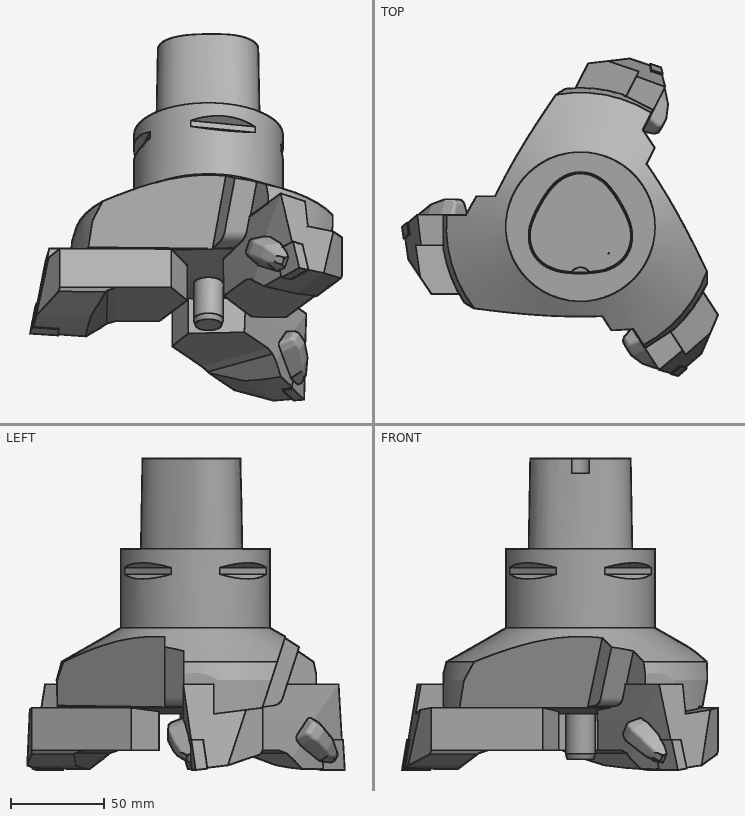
import cadquery as cq
import math


SHANK_TOP = 167.0
NECK_TOP = 118.5
NECK_BOTTOM = 76.3
CONE_BOTTOM = 58.0
RIM_HEIGHT = 48.2
HUB_BOTTOM = 30.1
PIN_BOTTOM = 5.8

NECK_RADIUS = 80.0 / 2
CONE_RADIUS = 71.9
RIM_RADIUS = 74.5
HUB_RADIUS = 74.0
PIN_RADIUS = 16.0 / 2
PIN_CHAMFER_WIDTH = 1.0
PIN_CHAMFER_HEIGHT = 3.0

SHANK_MEAN_RADIUS = 27.3
SHANK_LOBE = 2.0
SHANK_TAPER = 0.9
LOBE_TIPS = (90, 210, 330)
LOBE_HALF_ANGLE = 21
STRETCH_STEPS = 6
KEYWAY_RADIUS = 5.6
KEYWAY_OFFSET = 27.5
KEYWAY_DEPTH = 8.0

SLOT_ANGLES = (45, 135, 225, 315)
SLOT_HEIGHT = 106.8
SLOT_FLOOR_RADIUS = 36.0
SLOT_FLOOR_WIDTH = 3.4
SLOT_MOUTH_WIDTH = 8.7

ARM_ANGLES = (0, 123, 243)
FLANK_TILT = 18.0
FLANK_TOP_Y = -48.0
FLANK_TOP_Z = 70.9
STEP_OFFSET = 9.2
STEP_TOE_Z = 39.0
STEP_TOE_MID = (-45.1, 36.1)
STEP_FOOT = (-41.9, 34.5)
STEP_BASE_Z = 33.9
SHOULDER_Y = 16.4
LEAD_Y = 6.1
RELIEF_X = -73.4
RELIEF_HALF_WIDTH = 20.5

FRONT_Y = 6.5
SEAT_Y = -9.9
BACK_Y = -36.1
SEAT_Z = HUB_BOTTOM
SEAT_ANGLE = 7.2
UPRIGHT_TOP = 46.2
FRONT_INNER_X = -26.7
INNER_CORNER = (-11.5, -20.1)
BACK_INNER_X = -20.3
BACK_OUTER_X = -79.9
CORNER_CUT_ANGLE = 56.3
OUTER_X = -87.4
OUTER_LEAN = 0.18
OUTER_SWEEP = 0.12
RAKE_X = -71.4
RAKE_Z = 27.3
RADIAL_RAKE = 0.14
AXIAL_RAKE = 0.12
LOWER_RAKE = 0.032
BAR_BOTTOM = 10.5

INSERT_TIP_X = -95.7
INSERT_INNER_X = -80.5
INSERT_HEIGHT = 16.4
INSERT_THICKNESS = 6.5
INSERT_CLEARANCE = 0.12

CLAMP_X = -74.1
CLAMP_BASE_Y = 2.5
CLAMP_Z = 16.2
CLAMP_SLOPE = 37.0
CLAMP_TAPER = 24.0
CLAMP_HEIGHT = 12.8
CLAMP_ROUNDED_Y = 6.8
CLAMP_ROUNDING = 2.0

FAR = 255.5
OUTSIDE_X = -102.2
OVERCUT = 1.7


def half_space(point, normal):
    """Large block on the side of a plane that its normal points to."""
    return cq.Workplane(cq.Plane(origin=point, normal=normal)).rect(FAR, FAR).extrude(FAR)


def turned(body, angle):
    return body.rotate((0, 0, 0), (0, 0, 1), angle)


def flank_y(z):
    return FLANK_TOP_Y + (FLANK_TOP_Z - z) * math.tan(math.radians(FLANK_TILT))


def seat_z(y):
    return SEAT_Z + (SEAT_Y - y) * math.tan(math.radians(SEAT_ANGLE))



def lobe_point(mean_radius, degrees):
    """Point on the three-lobed outline; one lobe points along +Y."""
    angle = math.radians(degrees)
    radius = mean_radius + SHANK_LOBE * math.cos(3 * (angle - math.pi / 2))
    return cq.Vector(radius * math.cos(angle), radius * math.sin(angle))


def lobe_tangent(mean_radius, degrees):
    """Tangent of the three-lobed outline, the derivative of its point by angle."""
    angle = math.radians(degrees)
    radius = mean_radius + SHANK_LOBE * math.cos(3 * (angle - math.pi / 2))
    growth = -3 * SHANK_LOBE * math.sin(3 * (angle - math.pi / 2))
    return cq.Vector(
        growth * math.cos(angle) - radius * math.sin(angle),
        growth * math.sin(angle) + radius * math.cos(angle),
    )


def lobed_wire(mean_radius, height):
    """Outline of three lobe tips and three flatter flanks, tangent where they meet."""
    stretches = []
    for tip in LOBE_TIPS:
        stretches.append((tip - LOBE_HALF_ANGLE, tip + LOBE_HALF_ANGLE))
        stretches.append((tip + LOBE_HALF_ANGLE, tip + 120 - LOBE_HALF_ANGLE))
    edges = []
    for start, end in stretches:
        angles = [start + (end - start) * i / STRETCH_STEPS for i in range(STRETCH_STEPS + 1)]
        points = [lobe_point(mean_radius, angle) for angle in angles]
        tangents = [lobe_tangent(mean_radius, start), lobe_tangent(mean_radius, end)]
        edges.append(cq.Edge.makeSpline(points, tangents=tangents))
    return cq.Wire.assembleEdges(edges).translate(cq.Vector(0, 0, height))


def make_shank():
    bottom = lobed_wire(SHANK_MEAN_RADIUS, NECK_TOP)
    top = lobed_wire(SHANK_MEAN_RADIUS - SHANK_TAPER, SHANK_TOP)
    shank = cq.Workplane(cq.Solid.makeLoft([bottom, top], True))
    keyway = (
        cq.Workplane("XY", origin=(0, -KEYWAY_OFFSET, SHANK_TOP - KEYWAY_DEPTH))
        .circle(KEYWAY_RADIUS)
        .extrude(KEYWAY_DEPTH)
    )
    return shank.cut(keyway)


def make_turned_body():
    """Central pin, hub, rim, cone and neck as one turned shape."""
    profile = [
        (0, PIN_BOTTOM),
        (PIN_RADIUS - PIN_CHAMFER_WIDTH, PIN_BOTTOM),
        (PIN_RADIUS, PIN_BOTTOM + PIN_CHAMFER_HEIGHT),
        (PIN_RADIUS, HUB_BOTTOM),
        (HUB_RADIUS, HUB_BOTTOM),
        (RIM_RADIUS, RIM_HEIGHT),
        (CONE_RADIUS, CONE_BOTTOM),
        (NECK_RADIUS, NECK_BOTTOM),
        (NECK_RADIUS, NECK_TOP),
        (0, NECK_TOP),
    ]
    return cq.Workplane("XZ").polyline(profile).close().revolve(360, (0, 0, 0), (0, 1, 0))


def make_gripper_slot():
    """Straight slot with flared sides, on the +X side of the neck."""
    floor_half = SLOT_FLOOR_WIDTH / 2
    mouth_half = SLOT_MOUTH_WIDTH / 2
    profile = [
        (SLOT_FLOOR_RADIUS, -floor_half),
        (NECK_RADIUS, -mouth_half),
        (NECK_RADIUS, mouth_half),
        (SLOT_FLOOR_RADIUS, floor_half),
    ]
    return (
        cq.Workplane("XZ", origin=(0, 0, SLOT_HEIGHT))
        .polyline(profile)
        .close()
        .extrude(NECK_RADIUS, both=True)
    )


def make_gap(arm_angle, next_angle):
    """Space between the trailing face of one arm and the leading faces of the next one."""
    behind_flank = (
        cq.Workplane("YZ")
        .moveTo(flank_y(NECK_TOP), NECK_TOP)
        .lineTo(flank_y(0), 0)
        .lineTo(-FAR / 2, 0)
        .lineTo(-FAR / 2, NECK_TOP)
        .close()
        .extrude(FAR / 2, both=True)
    )
    beyond_step = (
        cq.Workplane("YZ")
        .moveTo(flank_y(NECK_TOP) - STEP_OFFSET, NECK_TOP)
        .lineTo(flank_y(STEP_TOE_Z) - STEP_OFFSET, STEP_TOE_Z)
        .threePointArc(STEP_TOE_MID, STEP_FOOT)
        .lineTo(flank_y(STEP_BASE_Z), STEP_BASE_Z)
        .lineTo(flank_y(STEP_BASE_Z), 0)
        .lineTo(-FAR / 2, 0)
        .lineTo(-FAR / 2, NECK_TOP)
        .close()
        .extrude(FAR / 2, both=True)
    )
    shoulder_side = turned(half_space((0, SHOULDER_Y, 0), (0, 1, 0)), next_angle)
    lead_side = turned(half_space((0, LEAD_Y, 0), (0, 1, 0)), next_angle)
    step_angle = next_angle - ARM_ANGLES[1]
    main_gap = turned(behind_flank, arm_angle).intersect(shoulder_side)
    step_gap = turned(beyond_step, step_angle).intersect(lead_side)
    return main_gap.union(step_gap)


def make_rim_relief():
    """Flat across the rim, above the upright of the cartridge."""
    depth = RIM_RADIUS + RELIEF_X + OVERCUT
    return (
        cq.Workplane("XY")
        .box(depth, 2 * RELIEF_HALF_WIDTH, CONE_BOTTOM, centered=(False, True, False))
        .translate((RELIEF_X - depth, 0, 0))
    )


def make_underside():
    """Wedge that gives the arm the same sloping underside as the cartridge seat."""
    wedge_back_y = BACK_Y - OVERCUT
    return (
        cq.Workplane("YZ", origin=(RELIEF_X, 0, 0))
        .moveTo(SEAT_Y, SEAT_Z)
        .lineTo(wedge_back_y, seat_z(wedge_back_y))
        .lineTo(wedge_back_y, SEAT_Z)
        .close()
        .extrude(SHOULDER_Y - RELIEF_X)
    )


def make_holder(cartridges):
    holder = make_turned_body()
    slot = make_gripper_slot()
    for angle in SLOT_ANGLES:
        holder = holder.cut(turned(slot, angle))
    relief = make_rim_relief()
    underside = make_underside()
    next_angles = ARM_ANGLES[1:] + ARM_ANGLES[:1]
    for angle, next_angle in zip(ARM_ANGLES, next_angles):
        holder = holder.cut(make_gap(angle, next_angle))
        holder = holder.cut(turned(relief, angle))
        holder = holder.cut(turned(underside, angle))
    for cartridge in cartridges:
        holder = holder.cut(cartridge)
    return holder.union(make_shank())



def in_front_of_rake():
    return half_space((RAKE_X, FRONT_Y, RAKE_Z), (-RADIAL_RAKE, 1, -AXIAL_RAKE))


def make_insert():
    """Plate flush with the rake face, standing slightly proud of the outer face."""
    lean = OUTER_LEAN * INSERT_HEIGHT
    plate = (
        cq.Workplane("XZ")
        .moveTo(INSERT_INNER_X, 0)
        .lineTo(INSERT_TIP_X - OVERCUT, 0)
        .lineTo(INSERT_TIP_X - OVERCUT, INSERT_HEIGHT)
        .lineTo(INSERT_INNER_X + lean, INSERT_HEIGHT)
        .close()
        .extrude(2 * INSERT_THICKNESS, both=True)
    )
    back_point = (RAKE_X, FRONT_Y - INSERT_THICKNESS, RAKE_Z)
    behind = half_space(back_point, (RADIAL_RAKE, -1, AXIAL_RAKE))
    outside = half_space((INSERT_TIP_X, 0, 0), (-1, -OUTER_SWEEP, OUTER_LEAN))
    below = half_space((0, 0, 0), (0, -INSERT_CLEARANCE, -1))
    return plate.cut(in_front_of_rake()).cut(behind).cut(outside).cut(below)


def make_clamp_nose():
    """Tapered nose lying across the leading faces, pointing at the insert."""
    slope = math.radians(CLAMP_SLOPE)
    center = (CLAMP_X, CLAMP_BASE_Y, CLAMP_Z)
    along = cq.Vector(-math.cos(slope), 0, -math.sin(slope))
    outward = cq.Vector(0, 1, 0)
    base = cq.Plane(origin=center, xDir=along, normal=outward)
    middle = cq.Plane(origin=center, xDir=along, normal=along.cross(outward))
    outline = [
        (-17.9, 7.2), (-17.9, -8.2), (-7.2, -10.4), (9.7, -7.2),
        (17.7, -2.0), (16.7, 2.7), (5.1, 8.2), (-5.1, 9.5),
    ]
    crown = [
        (-12.3, -1.7), (-12.0, 9.9), (-10.2, 12.0), (-4.3, 12.3),
        (5.1, 9.5), (12.8, 5.5), (16.2, 2.0), (16.2, -1.7),
    ]
    nose = cq.Workplane(base).polyline(outline).close().extrude(CLAMP_HEIGHT, taper=CLAMP_TAPER)
    side_shape = cq.Workplane(middle).polyline(crown).close().extrude(CLAMP_HEIGHT, both=True)
    nose = nose.intersect(side_shape)
    outer_part = cq.selectors.BoxSelector((-FAR, CLAMP_ROUNDED_Y, -FAR), (FAR, FAR, FAR))
    return nose.edges(outer_part).fillet(CLAMP_ROUNDING)


def make_bar():
    """Cartridge block: low bar with a sloping seat, and an upright along its front."""
    corner_rise = (BACK_OUTER_X - OUTSIDE_X) * math.tan(math.radians(CORNER_CUT_ANGLE))
    plan = [
        (OUTSIDE_X, FRONT_Y),
        (FRONT_INNER_X, FRONT_Y),
        INNER_CORNER,
        (BACK_INNER_X, BACK_Y),
        (BACK_OUTER_X, BACK_Y),
        (OUTSIDE_X, BACK_Y + corner_rise),
    ]
    over_seat = [
        (SEAT_Y, SEAT_Z),
        (BACK_Y, seat_z(BACK_Y)),
        (BACK_Y, UPRIGHT_TOP),
        (SEAT_Y, UPRIGHT_TOP),
    ]
    bar = cq.Workplane("XY").polyline(plan).close().extrude(UPRIGHT_TOP)
    seat_cut = cq.Workplane("YZ").polyline(over_seat).close().extrude(OUTSIDE_X)
    return bar.cut(seat_cut)


def cut_bottom(bar):
    """Bevels rising to the trailing face, and the higher bottom near the axis."""
    trailing_bevels = [
        (FRONT_Y, 0.3), (-6.0, 1.2), (-17.5, 2.5), (-35.0, 8.5),
        (BACK_Y, BAR_BOTTOM), (BACK_Y, -OVERCUT), (FRONT_Y, -OVERCUT),
    ]
    inner_rise = [
        (0, BAR_BOTTOM), (-49.7, BAR_BOTTOM), (-54.5, 9.0), (-65.7, 0.5),
        (-65.7, -OVERCUT), (0, -OVERCUT),
    ]
    below = cq.Workplane("YZ").polyline(trailing_bevels).close().extrude(OUTSIDE_X)
    inner_below = (
        cq.Workplane("XZ", origin=(0, FRONT_Y, 0))
        .polyline(inner_rise)
        .close()
        .extrude(FRONT_Y - BACK_Y)
    )
    return bar.cut(below).cut(inner_below)


def make_cartridge(insert):
    outside = half_space((OUTER_X, FRONT_Y, UPRIGHT_TOP), (-1, -OUTER_SWEEP, OUTER_LEAN))
    in_front_of_lower_rake = half_space((0, FRONT_Y, RAKE_Z), (0, 1, -LOWER_RAKE))
    cartridge = make_bar().cut(outside)
    cartridge = cartridge.cut(in_front_of_rake()).cut(in_front_of_lower_rake)
    cartridge = cut_bottom(cartridge)
    return cartridge.union(make_clamp_nose()).cut(insert)



reference_insert = make_insert()
reference_cartridge = make_cartridge(reference_insert)
inserts = [turned(reference_insert, angle) for angle in ARM_ANGLES]
cartridges = [turned(reference_cartridge, angle) for angle in ARM_ANGLES]
holder = make_holder(cartridges)

bodies = [holder] + cartridges + inserts
result = cq.Compound.makeCompound([body.solids().val() for body in bodies])